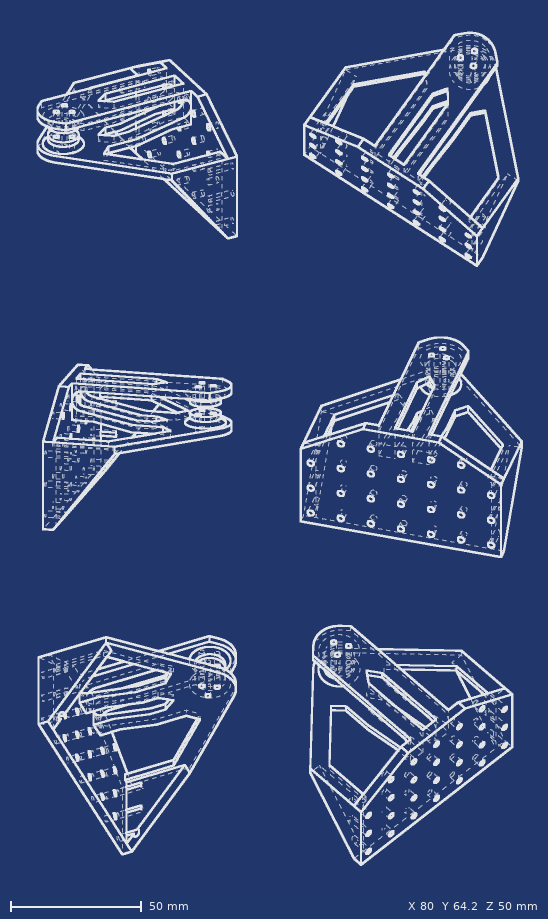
import cadquery as cq
import math


width = 80.0
reach = 64.2
height = 50.0

wall_thickness = 4.0
wall_top_half_width = 15.1
plate_thickness = 3.0
plate_gap = 12.0
gusset_thickness = 5.0
half_width = width / 2
upper_plate_bottom = height - plate_thickness
lower_plate_top = upper_plate_bottom - plate_gap
lower_plate_bottom = lower_plate_top - plate_thickness

tip_radius = 10.0
tip_y = reach - tip_radius
tip_tangent = tip_radius * math.sin(math.radians(45))
shoulder_y = tip_y + 2 * tip_tangent - half_width

web_half_width = tip_radius
throat_radius = 4.0
brace_end_y = 28.0
brace_underside_z = 35.3
brace_bend_y = 12.3
brace_foot_y = 27.4

slot_half_width = 3.5
slot_straight_end = 34.0
slot_point = 39.0
window_outer_x = 33.6
window_inner_x = 14.0
window_bend_y = 24.3
window_far_y = window_bend_y + window_outer_x - window_inner_x
window_web_y = window_far_y - (window_inner_x - web_half_width)

boss_diameter = 11.8
boss_straight_height = 2.0
boss_cone_height = 2.0
boss_base_radius = boss_diameter / 2 + boss_cone_height
pin_hole_diameter = 2.0
pin_circle_radius = 3.4
pin_circle_setback = 0.4
pin_count = 3

mount_hole_diameter = 2.5
mount_hole_depth = 10.0
mount_pitch = 12.0
mount_bottom_z = 5.0
lower_columns = range(-3, 4)
upper_columns = range(-2, 3)
lower_row_count = 3


def prism_x(points, x_start, thickness):
    """Extrude a (y, z) outline along +X."""
    return cq.Workplane("YZ").workplane(offset=x_start).polyline(points).close().extrude(thickness)


def prism_z(points, z_start, thickness):
    """Extrude an (x, y) outline along +Z."""
    return cq.Workplane("XY").workplane(offset=z_start).polyline(points).close().extrude(thickness)


def make_wall():
    outline = [
        (-half_width, 0),
        (half_width, 0),
        (half_width, lower_plate_top),
        (wall_top_half_width, height),
        (-wall_top_half_width, height),
        (-half_width, lower_plate_top),
    ]
    return cq.Workplane("XZ").polyline(outline).close().extrude(-wall_thickness)


def tip_outline(plane):
    """Full-width plate outline: square at the wall, tapering to the round tip."""
    return (
        plane.moveTo(-half_width, 0)
        .lineTo(half_width, 0)
        .lineTo(half_width, shoulder_y)
        .lineTo(tip_tangent, tip_y + tip_tangent)
        .threePointArc((0, reach), (-tip_tangent, tip_y + tip_tangent))
        .lineTo(-half_width, shoulder_y)
        .close()
    )


def make_side_frame():
    """Lower plate with a window on each side of the web."""
    plate = tip_outline(cq.Workplane("XY").workplane(offset=lower_plate_bottom)).extrude(plate_thickness)
    for side in (-1, 1):
        window = [
            (side * web_half_width, wall_thickness),
            (side * window_outer_x, wall_thickness),
            (side * window_outer_x, window_bend_y),
            (side * window_inner_x, window_far_y),
            (side * web_half_width, window_web_y),
        ]
        plate = plate.cut(prism_z(window, lower_plate_bottom, plate_thickness))
    under_brace = [
        (wall_thickness, lower_plate_bottom),
        (brace_foot_y, lower_plate_bottom),
        (brace_bend_y, brace_underside_z),
        (wall_thickness, brace_underside_z),
    ]
    return plate.cut(prism_x(under_brace, -web_half_width, 2 * web_half_width))


def make_web():
    """Upper arm and sloping brace, joined at the wall by a rounded throat."""
    throat_y = wall_thickness + throat_radius
    throat_z = upper_plate_bottom - throat_radius
    to_end_y = brace_end_y - throat_y
    drop_to_end = throat_z - lower_plate_top
    end_distance = math.hypot(to_end_y, drop_to_end)
    tangent_angle = -math.atan2(drop_to_end, to_end_y) - math.acos(throat_radius / end_distance)
    tangent_y = throat_y + throat_radius * math.cos(tangent_angle)
    tangent_z = throat_z + throat_radius * math.sin(tangent_angle)

    profile = (
        cq.Workplane("YZ")
        .workplane(offset=-web_half_width)
        .moveTo(0, height)
        .lineTo(reach, height)
        .lineTo(reach, upper_plate_bottom)
        .lineTo(throat_y, upper_plate_bottom)
        .threePointArc((wall_thickness, throat_z), (tangent_y, tangent_z))
        .lineTo(brace_end_y, lower_plate_top)
        .lineTo(brace_foot_y, lower_plate_bottom)
        .lineTo(brace_bend_y, brace_underside_z)
        .lineTo(0, brace_underside_z)
        .close()
    )
    tip_trim = tip_outline(cq.Workplane("XY")).extrude(height)
    return profile.extrude(2 * web_half_width).intersect(tip_trim)


def make_gusset(x_start):
    profile = [
        (0, 0),
        (wall_thickness, 0),
        (shoulder_y, lower_plate_bottom),
        (0, lower_plate_bottom),
    ]
    return prism_x(profile, x_start, gusset_thickness)


def make_boss(plate_z, direction):
    """Conical boss with a straight end, rising from a plate face along direction (+1 or -1)."""
    cone_end = plate_z + direction * boss_cone_height
    boss_end = cone_end + direction * boss_straight_height
    half_section = [
        (0, plate_z),
        (boss_base_radius, plate_z),
        (boss_diameter / 2, cone_end),
        (boss_diameter / 2, boss_end),
        (0, boss_end),
    ]
    boss = cq.Workplane("XZ").polyline(half_section).close().revolve(360, (0, 0), (0, 1))
    return boss.translate((0, tip_y, 0))


def make_slot():
    outline = [
        (-slot_half_width, wall_thickness),
        (slot_half_width, wall_thickness),
        (slot_half_width, slot_straight_end),
        (0, slot_point),
        (-slot_half_width, slot_straight_end),
    ]
    return prism_z(outline, lower_plate_bottom, height - lower_plate_bottom)


def make_pin_holes():
    return (
        cq.Workplane("XY")
        .center(0, tip_y - pin_circle_setback)
        .polarArray(pin_circle_radius, 90, 360, pin_count)
        .circle(pin_hole_diameter / 2)
        .extrude(height)
    )


def make_mount_holes():
    centers = [
        (column * mount_pitch, mount_bottom_z + row * mount_pitch)
        for row in range(lower_row_count)
        for column in lower_columns
    ]
    top_row_z = mount_bottom_z + lower_row_count * mount_pitch
    centers += [(column * mount_pitch, top_row_z) for column in upper_columns]
    return cq.Workplane("XZ").pushPoints(centers).circle(mount_hole_diameter / 2).extrude(-mount_hole_depth)


bracket = make_wall().union(make_side_frame()).union(make_web())
for gusset_x in (-half_width, half_width - gusset_thickness):
    bracket = bracket.union(make_gusset(gusset_x))
bracket = bracket.union(make_boss(lower_plate_top, 1))
bracket = bracket.union(make_boss(upper_plate_bottom, -1))
bracket = bracket.cut(make_slot()).cut(make_pin_holes()).cut(make_mount_holes())

result = bracket.rotate((0, 0, 0), (0, 0, 1), 180)